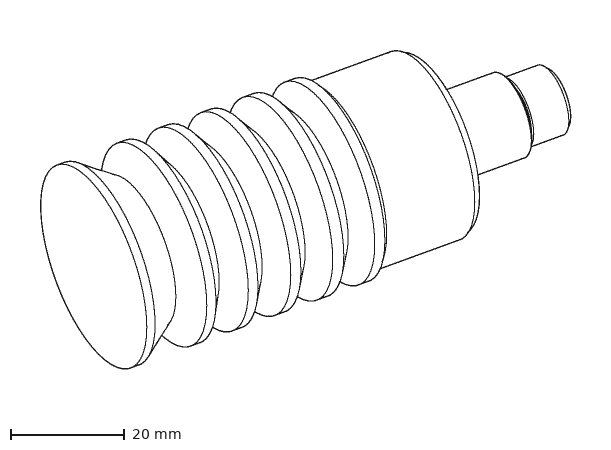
import cadquery as cq

overall_length = 93.1
cup_diameter = 38.0
lip_thickness = 1.7
flare_length = 6.9
body_diameter = 35.3
shank_diameter = 16.0
thread_diameter = 13.1
neck_diameter = 11.45

fold_pitch = 8.6
first_valley_y = lip_thickness + flare_length
valley_diameters = [28.4, 29.05, 29.4, 29.8, 30.2]
band_widths = [1.9, 2.0, 2.05, 2.2, 2.05]
lower_slope_lengths = [3.5, 3.35, 3.35, 3.3, 3.2]
shoulder_length = 1.1

flange_diameter = 34.1
flange_back_y = 68.6
flange_thickness = 1.7
shank_fillet_radius = 0.9
shank_back_y = 84.1
shank_chamfer = 0.3
thread_front_y = 85.1
thread_chamfer = 0.9
neck_chamfer = 0.3

cup_radius = cup_diameter / 2
body_radius = body_diameter / 2
shank_radius = shank_diameter / 2
thread_radius = thread_diameter / 2
neck_radius = neck_diameter / 2
flange_radius = flange_diameter / 2
flange_edge_radius = flange_thickness / 2
flange_front_y = flange_back_y - flange_thickness


def add_lip_and_bellows(outline):
    """Trace the flat lip and its flare, then each fold from its front valley backward."""
    outline = outline.lineTo(cup_radius, 0).lineTo(cup_radius, lip_thickness)
    folds = zip(valley_diameters, lower_slope_lengths, band_widths)
    for index, (valley_diameter, slope_length, band_width) in enumerate(folds):
        valley_y = first_valley_y + index * fold_pitch
        band_front_y = valley_y + slope_length
        band_back_y = band_front_y + band_width
        outline = outline.lineTo(valley_diameter / 2, valley_y)
        outline = outline.lineTo(cup_radius, band_front_y).lineTo(cup_radius, band_back_y)
    return outline.lineTo(body_radius, band_back_y + shoulder_length)


def add_body_and_flange(outline):
    """Trace the plain body and the thin flange with its fully rounded rim."""
    inset = flange_edge_radius
    return (
        outline.lineTo(body_radius, flange_front_y)
        .lineTo(flange_radius - inset, flange_front_y)
        .threePointArc((flange_radius, flange_front_y + inset), (flange_radius - inset, flange_back_y))
    )


def add_spigot(outline):
    """Trace the filleted shank, the undercut neck and the chamfered thread cylinder."""
    return (
        outline.lineTo(shank_radius + shank_fillet_radius, flange_back_y)
        .radiusArc((shank_radius, flange_back_y + shank_fillet_radius), shank_fillet_radius)
        .lineTo(shank_radius, shank_back_y - shank_chamfer)
        .lineTo(shank_radius - shank_chamfer, shank_back_y)
        .lineTo(neck_radius - neck_chamfer, shank_back_y)
        .lineTo(neck_radius, shank_back_y + neck_chamfer)
        .lineTo(neck_radius, thread_front_y)
        .lineTo(thread_radius, thread_front_y)
        .lineTo(thread_radius, overall_length - thread_chamfer)
        .lineTo(thread_radius - thread_chamfer, overall_length)
        .lineTo(0, overall_length)
    )


outline = cq.Workplane("XY").moveTo(0, 0)
outline = add_lip_and_bellows(outline)
outline = add_body_and_flange(outline)
outline = add_spigot(outline)
result = outline.close().revolve(360, (0, 0, 0), (0, 1, 0))